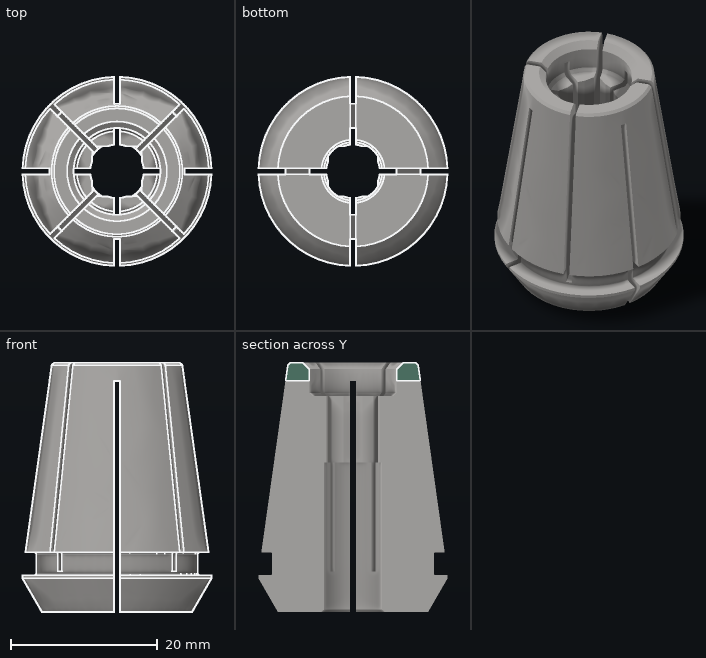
import cadquery as cq
import math

height = 34.0

rim_diameter = 25.8
rim_radius = rim_diameter / 2
rim_bottom = 4.6
rim_top = 5.03
nut_cone_angle = 30.0
nut_end_radius = rim_radius - rim_bottom * math.tan(math.radians(nut_cone_angle))

groove_radius = 11.05
groove_top = 8.13
groove_fillet = 0.17

taper_angle = 8.0
taper_base_radius = 12.5
top_chamfer = 0.35
taper_length = height - top_chamfer - groove_top
taper_top_radius = taper_base_radius - taper_length * math.tan(math.radians(taper_angle))

shank_radius = 3.98
shank_depth = 20.4
shank_chamfer = 0.35
drive_square = 6.8
drive_relief_radius = 3.65
recess_radius = 5.9
recess_floor = 29.45
recess_floor_chamfer = 0.45
recess_mouth_chamfer = 0.9

slot_width = 0.8
slot_length = 1.5 * rim_diameter
nut_slot_top = 31.5
taper_slot_floor = 5.55


def revolve_outline(points):
    """Full turn about Z of a closed (radius, z) outline."""
    return cq.Workplane("XZ").polyline(points).close().revolve(360, (0, 0), (0, 1))


def make_body():
    """Revolved outside of the collet, with the groove corners rounded."""
    outline = [
        (0, 0),
        (nut_end_radius, 0),
        (rim_radius, rim_bottom),
        (rim_radius, rim_top),
        (groove_radius, rim_top),
        (groove_radius, groove_top),
        (taper_base_radius, groove_top),
        (taper_top_radius, height - top_chamfer),
        (taper_top_radius - top_chamfer, height),
        (0, height),
    ]
    body = revolve_outline(outline)
    groove_wall = body.faces("%CYLINDER").faces(cq.selectors.AreaNthSelector(-1))
    return groove_wall.edges("%CIRCLE").fillet(groove_fillet)


def make_shank_bore():
    """Round bore from the nut end, with a chamfered mouth."""
    outline = [
        (0, 0),
        (shank_radius + shank_chamfer, 0),
        (shank_radius, shank_chamfer),
        (shank_radius, shank_depth),
        (0, shank_depth),
    ]
    return revolve_outline(outline)


def make_drive_hole():
    """Square drive hole whose flats are relieved by a slightly larger round hole."""
    base = cq.Workplane("XY").workplane(offset=shank_depth)
    drive_length = recess_floor - shank_depth
    square = base.rect(drive_square, drive_square).extrude(drive_length)
    return square.union(base.circle(drive_relief_radius).extrude(drive_length))


def make_recess():
    """Round recess in the small end, chamfered at its floor and mouth."""
    outline = [
        (0, recess_floor),
        (recess_radius - recess_floor_chamfer, recess_floor),
        (recess_radius, recess_floor + recess_floor_chamfer),
        (recess_radius, height - recess_mouth_chamfer),
        (recess_radius + recess_mouth_chamfer, height),
        (0, height),
    ]
    return revolve_outline(outline)


def make_slot(angle, bottom, top):
    """Straight slot across the whole collet, turned about the axis."""
    base = cq.Workplane("XY").workplane(offset=bottom)
    slot = base.rect(slot_length, slot_width).extrude(top - bottom)
    return slot.rotate((0, 0, 0), (0, 0, 1), angle)


result = make_body().cut(make_shank_bore()).cut(make_drive_hole()).cut(make_recess())

for axis_angle in (0, 90):
    result = result.cut(make_slot(axis_angle, 0, nut_slot_top))
    result = result.cut(make_slot(axis_angle + 45, taper_slot_floor, height))